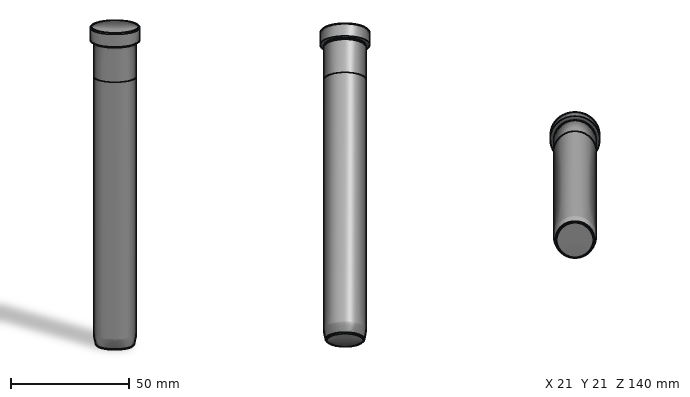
import cadquery as cq

total_length = 140.0
head_diameter = 21.0
shank_diameter = 18.0

head_height = 6.0
head_chamfer = 0.5
neck_length = 0.8
neck_depth = 0.4
collar_length = 22.0

lead_length = 5.0
tip_diameter = 16.5
lead_bulge = 0.1
tip_chamfer = 0.5

shank_radius = shank_diameter / 2
head_bottom = total_length - head_height
joint_height = total_length - collar_length


def make_headed_collar():
    """Upper body: chamfered head, relief groove under it, and a plain collar."""
    head = (
        cq.Workplane("XY", origin=(0, 0, head_bottom))
        .circle(head_diameter / 2)
        .extrude(head_height)
        .faces(">Z")
        .edges()
        .chamfer(head_chamfer)
    )
    neck = (
        cq.Workplane("XY", origin=(0, 0, head_bottom - neck_length))
        .circle(shank_radius - neck_depth)
        .extrude(neck_length)
    )
    collar = (
        cq.Workplane("XY", origin=(0, 0, joint_height))
        .circle(shank_radius)
        .extrude(head_bottom - neck_length - joint_height)
    )
    return collar.union(neck).union(head)


def make_shaft():
    """Lower body: long cylinder ending in a rounded lead-in with a broken tip edge."""
    tip_radius = tip_diameter / 2
    lead_middle_radius = (shank_radius + tip_radius) / 2 + lead_bulge
    lead_middle_height = (lead_length + tip_chamfer) / 2
    return (
        cq.Workplane("XZ")
        .lineTo(tip_radius - tip_chamfer, 0)
        .lineTo(tip_radius, tip_chamfer)
        .threePointArc((lead_middle_radius, lead_middle_height), (shank_radius, lead_length))
        .lineTo(shank_radius, joint_height)
        .lineTo(0, joint_height)
        .close()
        .revolve(360, (0, 0, 0), (0, 1, 0))
    )


headed_collar = make_headed_collar()
shaft = make_shaft()

result = cq.Compound.makeCompound([headed_collar.val(), shaft.val()])